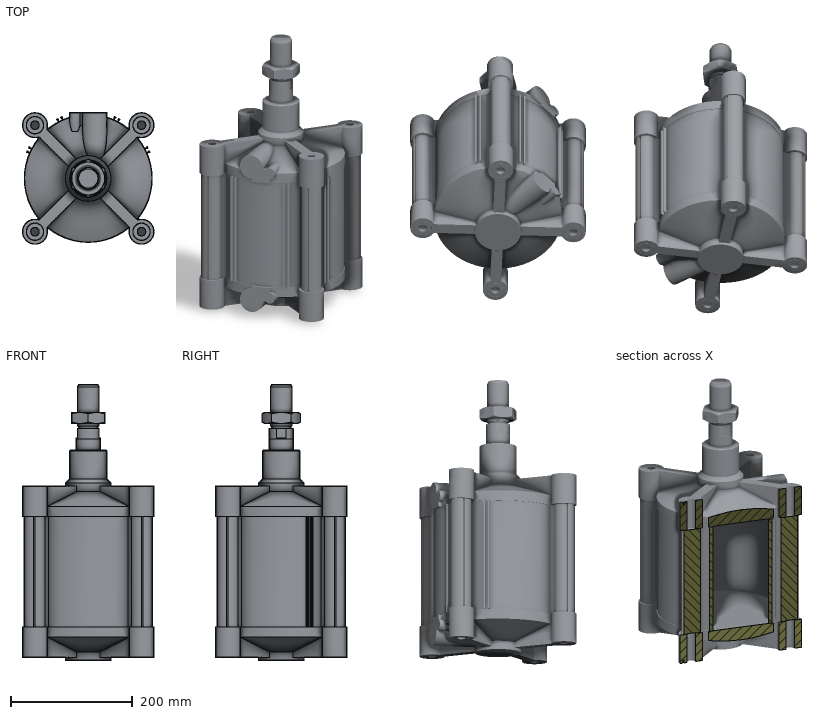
import cadquery as cq
import math


overall_height = 453.0
collar_projection = 5.0
cap_height = 50.0
barrel_length = 181.0
rear_cap_top = collar_projection + cap_height
front_cap_bottom = rear_cap_top + barrel_length
front_cap_top = front_cap_bottom + cap_height

cap_diameter = 210.0
cap_rim_height = 16.6
cone_height = 24.6
collar_diameter = 75.0
boss_diameter = 41.0
boss_pitch = 175.0
boss_half_pitch = boss_pitch / 2
boss_reach = boss_half_pitch * math.sqrt(2)
rib_width = 18.0
screw_hole_diameter = 14.0
screw_head_diameter = 28.0
screw_recess_diameter = 28.5
screw_recess_depth = 5.0

stub_end_y = boss_half_pitch + boss_diameter / 2
port_diameter = 40.0
port_x = 10.6
port_height = 25.0
cushion_diameter = 19.0
cushion_x = -21.2
cushion_height = 17.2
cushion_inner_y = 77.5
bridge_height = 23.0

sleeve_diameter = 61.0
sleeve_flare_height = 7.0
sleeve_top = 345.5
sleeve_chamfer = 1.5

barrel_diameter = 208.0
barrel_bore = 200.0
lobe_diameter = 32.5
lobe_crest_diameter = 36.0
lobe_web_width = 23.0
slot_width = 2.8
crest_offset = 2.4
slot_floor = 13.5
rail_angles = (25.6, 64.4, 115.6, 154.4)
rail_outer_radius = 110.0
rail_wall_spacing = 7.5
rail_wall_thickness = 1.4
rail_head_width = 2.6
rail_head_thickness = 1.3

rod_diameter = 40.0
rod_shank_top = 363.4
rod_flats_diameter = 39.5
rod_flats_width = 36.0
rod_flats_bottom = 365.5
rod_shoulder = 381.0
neck_diameter = 31.8
thread_start = 384.8
thread_diameter = 36.0
thread_lead_in = 2.1
thread_tip_height = 4.3

nut_width = 55.0
nut_bottom = 388.8
nut_height = 18.7
nut_face_diameter = 54.0
nut_chamfer_angle = 30.0
hexagon_half_angle = 30.0


def cylinder(diameter, bottom, height, x=0.0, y=0.0):
    return cq.Workplane("XY", origin=(x, y, bottom)).circle(diameter / 2).extrude(height)


def radial_bar(start, length, width, height, angle):
    """Bar running outward from the axis in the direction of the angle, standing on Z = 0."""
    bar = cq.Workplane("XY").box(length, width, height, centered=(False, True, False))
    return bar.translate((start, 0, 0)).rotate((0, 0, 0), (0, 0, 1), angle)


def revolve_profile(points):
    """Solid of revolution about Z from (radius, height) points."""
    return cq.Workplane("XZ").polyline(points).close().revolve(360, (0, 0, 0), (0, 1, 0))


def stub(diameter, x, height, inner_y=0.0):
    """Round stub along +Y, ending level with the corner bosses."""
    plane = cq.Workplane("XZ", origin=(x, inner_y, height))
    return plane.circle(diameter / 2).extrude(inner_y - stub_end_y)


def make_stubs():
    """Port and cushion stubs with the wall that bridges the gap between them."""
    port = stub(port_diameter, port_x, port_height)
    cushion = stub(cushion_diameter, cushion_x, cushion_height, cushion_inner_y)
    bridge = cq.Workplane("XY", origin=(cushion_x, cushion_inner_y, 0)).rect(
        port_x - cushion_x, stub_end_y - cushion_inner_y, centered=False
    )
    return port.union(cushion).union(bridge.extrude(bridge_height))


def make_cap():
    """Cap with its barrel end on Z = 0 and its collar pointing up."""
    collar_radius = collar_diameter / 2
    collar_top = cap_height + collar_projection
    cap = revolve_profile([
        (0, 0),
        (cap_diameter / 2, 0),
        (cap_diameter / 2, cap_rim_height),
        (collar_radius, cap_rim_height + cone_height),
        (collar_radius, collar_top),
        (0, collar_top),
    ])
    for angle in (45, 135, 225, 315):
        cap = cap.union(radial_bar(0, boss_reach, rib_width, cap_height, angle))
    cap = cap.union(make_stubs())

    corners = cq.Workplane("XY").rect(boss_pitch, boss_pitch, forConstruction=True).vertices()
    cap = cap.union(corners.circle(boss_diameter / 2).extrude(cap_height))
    corners = cq.Workplane("XY").rect(boss_pitch, boss_pitch, forConstruction=True).vertices()
    cap = cap.cut(corners.circle(screw_hole_diameter / 2).extrude(cap_height))
    top_corners = (
        cq.Workplane("XY", origin=(0, 0, cap_height))
        .rect(boss_pitch, boss_pitch, forConstruction=True)
        .vertices()
    )
    ring_gap = top_corners.circle(screw_recess_diameter / 2).circle(screw_head_diameter / 2)
    return cap.cut(ring_gap.extrude(-screw_recess_depth))


def make_rear_cap():
    return make_cap().mirror("XY").translate((0, 0, rear_cap_top))


def make_front_cap():
    cap = make_cap().translate((0, 0, front_cap_bottom))
    flare_bottom = front_cap_top + collar_projection
    flare_top = flare_bottom + sleeve_flare_height
    sleeve_radius = sleeve_diameter / 2
    sleeve = revolve_profile([
        (0, flare_bottom),
        (collar_diameter / 2, flare_bottom),
        (sleeve_radius, flare_top),
        (sleeve_radius, sleeve_top - sleeve_chamfer),
        (sleeve_radius - sleeve_chamfer, sleeve_top),
        (0, sleeve_top),
    ])
    rod_bore = cylinder(rod_diameter, front_cap_bottom, sleeve_top - front_cap_bottom)
    return cap.union(sleeve).cut(rod_bore)


def make_lobe():
    """Corner lobe of the barrel on the +X +Y diagonal, standing on Z = 0."""
    centre = boss_half_pitch
    lobe = cylinder(lobe_diameter, 0, barrel_length, centre, centre)
    crest_start = centre + crest_offset
    crest = cylinder(lobe_crest_diameter, 0, barrel_length, centre, centre)
    crest_limit = cq.Workplane("XY", origin=(crest_start, crest_start, 0)).rect(
        lobe_crest_diameter, lobe_crest_diameter, centered=False
    )
    lobe = lobe.union(crest.intersect(crest_limit.extrude(barrel_length)))
    lobe = lobe.union(radial_bar(0, boss_reach, lobe_web_width, barrel_length, 45))
    slot_start = crest_start - slot_width
    slot_bottom = centre + slot_floor
    slot_depth = lobe_crest_diameter / 2
    slot_up = cq.Workplane("XY", origin=(slot_start, slot_bottom, 0)).rect(
        slot_width, slot_depth, centered=False
    )
    slot_side = cq.Workplane("XY", origin=(slot_bottom, slot_start, 0)).rect(
        slot_depth, slot_width, centered=False
    )
    return lobe.cut(slot_up.extrude(barrel_length)).cut(slot_side.extrude(barrel_length))


def make_rail(angle):
    """Sensor rail: two walls with T-shaped heads along the barrel."""
    root = (barrel_diameter + barrel_bore) / 4
    stem = cq.Workplane("XY").box(
        rail_outer_radius - root, rail_wall_thickness, barrel_length, centered=(False, True, False)
    ).translate((root, 0, 0))
    head = cq.Workplane("XY").box(
        rail_head_thickness, rail_head_width, barrel_length, centered=(False, True, False)
    ).translate((rail_outer_radius - rail_head_thickness, 0, 0))
    wall = stem.union(head)
    offset = rail_wall_spacing / 2
    rail = wall.translate((0, offset, 0)).union(wall.translate((0, -offset, 0)))
    return rail.rotate((0, 0, 0), (0, 0, 1), angle)


def make_barrel():
    barrel = cylinder(barrel_diameter, 0, barrel_length)
    lobe = make_lobe()
    for quarter_turn in (0, 90, 180, 270):
        barrel = barrel.union(lobe.rotate((0, 0, 0), (0, 0, 1), quarter_turn))
    for angle in rail_angles:
        barrel = barrel.union(make_rail(angle))
    barrel = barrel.cut(cylinder(barrel_bore, 0, barrel_length))
    return barrel.translate((0, 0, rear_cap_top))


def make_piston_rod():
    shank_radius = rod_diameter / 2
    flats_radius = rod_flats_diameter / 2
    neck_radius = neck_diameter / 2
    thread_radius = thread_diameter / 2
    rod = revolve_profile([
        (0, front_cap_bottom),
        (shank_radius, front_cap_bottom),
        (shank_radius, rod_shank_top),
        (flats_radius, rod_shank_top),
        (flats_radius, rod_shoulder),
        (neck_radius, rod_shoulder),
        (neck_radius, thread_start),
        (thread_radius, thread_start),
        (thread_radius, overall_height - thread_tip_height),
        (thread_radius - thread_lead_in, overall_height),
        (0, overall_height),
    ])
    for side in (-1, 1):
        flat = cq.Workplane("XY").box(
            rod_diameter, rod_diameter, rod_shoulder - rod_flats_bottom, centered=(True, True, False)
        )
        flat_centre = side * (rod_flats_width + rod_diameter) / 2
        rod = rod.cut(flat.translate((flat_centre, 0, rod_flats_bottom)))
    return rod


def make_nut():
    corner_diameter = nut_width / math.cos(math.radians(hexagon_half_angle))
    hexagon = (
        cq.Workplane("XY", origin=(0, 0, nut_bottom))
        .transformed(rotate=(0, 0, hexagon_half_angle))
        .polygon(6, corner_diameter)
        .extrude(nut_height)
    )
    face_radius = nut_face_diameter / 2
    corner_radius = corner_diameter / 2
    drop = (corner_radius - face_radius) * math.tan(math.radians(nut_chamfer_angle))
    nut_top = nut_bottom + nut_height
    chamfer_envelope = revolve_profile([
        (0, nut_bottom),
        (face_radius, nut_bottom),
        (corner_radius, nut_bottom + drop),
        (corner_radius, nut_top - drop),
        (face_radius, nut_top),
        (0, nut_top),
    ])
    thread_hole = cylinder(thread_diameter, nut_bottom, nut_height)
    return hexagon.intersect(chamfer_envelope).cut(thread_hole)


rear_cap = make_rear_cap()
barrel = make_barrel()
front_cap = make_front_cap()
piston_rod = make_piston_rod()
nut = make_nut()

result = cq.Compound.makeCompound(
    [rear_cap.val(), barrel.val(), front_cap.val(), piston_rod.val(), nut.val()]
)